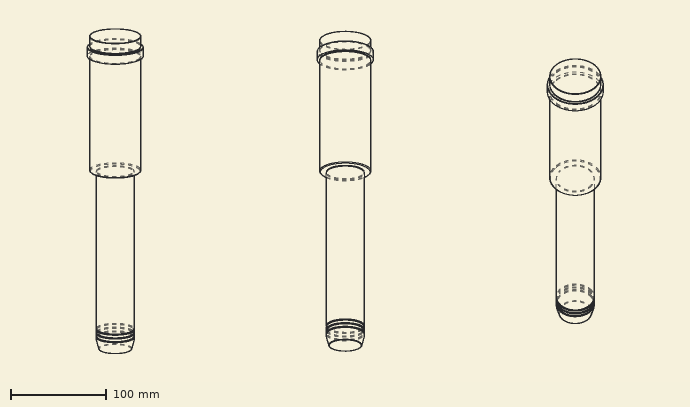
import cadquery as cq
import math

total_length = 343.0
shank_length = 195.0
collar_height = 10.0
head_height = 12.0

body_diameter = 54.0
collar_diameter = 59.0
shank_diameter = 40.0

body_chamfer = 1.0
head_chamfer = 0.5
collar_chamfer = 0.5
tip_chamfer = 0.5

relief_width = 1.0
relief_depth = 0.25

nose_length = 10.0
nose_taper = 15.0
groove_count = 3
groove_pitch = 4.1
groove_width = 1.2
groove_depth = 0.6

collar_top = total_length - head_height
collar_bottom = collar_top - collar_height
tip_diameter = shank_diameter - 2 * nose_length * math.tan(math.radians(nose_taper))
lowest_groove_bottom = nose_length + groove_pitch - groove_width


def cylinder(diameter, bottom, height):
    """Solid cylinder on the Z axis, starting at the height `bottom`."""
    return cq.Workplane("XY").workplane(offset=bottom).circle(diameter / 2).extrude(height)


def make_body():
    """Large upper cylinder, chamfered at both ends."""
    body = cylinder(body_diameter, shank_length, total_length - shank_length)
    body = body.faces("<Z").chamfer(body_chamfer)
    return body.faces(">Z").chamfer(head_chamfer)


def make_collar():
    """Ring standing proud of the upper cylinder, chamfered on its top rim."""
    collar = cylinder(collar_diameter, collar_bottom, collar_height)
    return collar.faces(">Z").chamfer(collar_chamfer)


def make_shank():
    """Long lower cylinder that ends in a tapered nose with a chamfered tip."""
    nose = (
        cq.Workplane("XY")
        .circle(tip_diameter / 2)
        .workplane(offset=nose_length)
        .circle(shank_diameter / 2)
        .loft()
    )
    nose = nose.faces("<Z").chamfer(tip_chamfer)
    return cylinder(shank_diameter, nose_length, shank_length - nose_length).union(nose)


def make_groove(diameter, bottom, width, depth):
    """Ring to remove from a cylinder of the given diameter to form a groove."""
    core = cylinder(diameter - 2 * depth, bottom, width)
    return cylinder(diameter, bottom, width).cut(core)


result = make_shank().union(make_body()).union(make_collar())

for index in range(groove_count):
    groove_bottom = lowest_groove_bottom + index * groove_pitch
    result = result.cut(make_groove(shank_diameter, groove_bottom, groove_width, groove_depth))

for diameter, relief_bottom in (
    (body_diameter, collar_top),
    (body_diameter, collar_bottom - relief_width),
    (shank_diameter, shank_length - relief_width),
):
    result = result.cut(make_groove(diameter, relief_bottom, relief_width, relief_depth))

result = result.rotate((0, 0, 0), (0, 0, 1), 180)